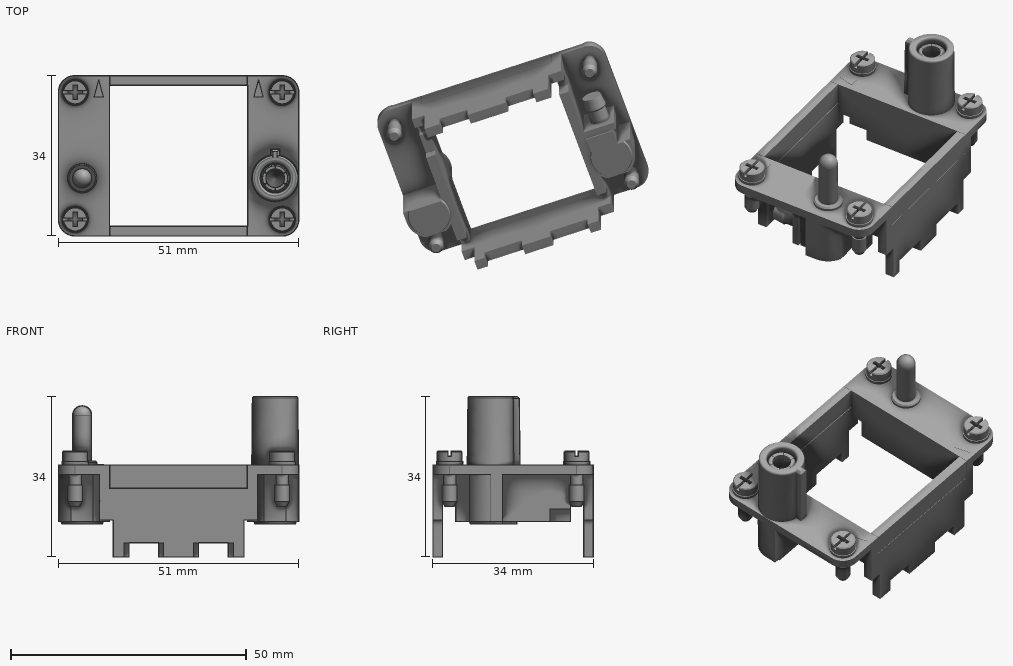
import cadquery as cq
import math

LENGTH = 51.0
WIDTH = 34.0
HEIGHT = 34.0
BUSHING_TOP = 14.5
PLATE_THICKNESS = 2.05
CORNER_RADIUS = 3.55
WINDOW_LENGTH = 29.25

WALL_THICKNESS = 2.1
STRIP_THICKNESS = 2.0
WALL_BOTTOM = BUSHING_TOP - HEIGHT
WALL_LENGTH = 33.45
SHOULDER_Z = -11.7
SKIRT_LENGTH = 27.75
TOOTH_TOP_Z = -16.5
FRONT_TEETH = [(-SKIRT_LENGTH / 2, -11.6), (-3.15, 3.15), (11.6, SKIRT_LENGTH / 2)]
BACK_TEETH = [(-SKIRT_LENGTH / 2, -10.5), (-4.25, 4.25), (10.5, SKIRT_LENGTH / 2)]
STRIP_HEIGHT = 5.0
STRIP_GROOVE_WIDTH = 0.1
STRIP_GROOVE_DEPTH = 0.1

END_WALL_WIDTH = 24.35
END_WALL_BOTTOM = -12.05
END_WALL_UPPER_BOTTOM = -7.65
STEP_BOTTOM = -9.4
STEP_START_Y = 7.85

GUIDE_X = 20.45
GUIDE_Y = -4.75
BOSS_RADIUS = LENGTH / 2 - GUIDE_X
BOSS_FLAT_Y = -9.25
BOSS_BACK_Y = -2.3
BOSS_FOOT_RADIUS = 4.3
BOSS_FOOT_BOTTOM = -12.55

PIN_RADIUS = 2.05
PIN_TOP = 12.55
PIN_COLLAR_RADIUS = 3.1
PIN_COLLAR_HEIGHT = 0.85
PIN_COLLAR_CHAMFER = 0.3

BUSHING_BASE_RADIUS = 5.0
BUSHING_TOP_RADIUS = 4.85
BUSHING_ROUND = 0.45
MOUTH_THROAT_RADIUS = 3.15
MOUTH_ROUND = 0.55
CONTACT_DEPTH = 1.2
CONTACT_GAP_DEPTH = 7.35
CONTACT_RADIUS = 2.95
CONTACT_CHAMFER = 0.3
SOCKET_RADIUS = 2.0
SOCKET_DEPTH = 12.25
SOCKET_TIP_DEPTH = 13.75
CONTACT_SLOT_WIDTH = 0.15
KEY_BASE_WIDTH = 2.0
KEY_TOP_WIDTH = 1.8
KEY_BASE_REACH = 6.2
KEY_TOP_REACH = 6.05
KEY_CHAMFER = 0.45

SCREW_X = 21.95
SCREW_Y = 13.45
SCREW_HEAD_TOP = 2.9
SCREW_WASHER_RADIUS = 2.8
SCREW_WASHER_HEIGHT = 0.7
SCREW_HEAD_RADIUS = 2.65
SCREW_HEAD_CHAMFER = 0.2
SCREW_SHANK_RADIUS = 1.35
SCREW_THREAD_RADIUS = 1.6
SCREW_TIP_RADIUS = 0.95
SCREW_THREAD_START = -4.3
SCREW_THREAD_END = -7.8
SCREW_TIP_END = -8.8
SLOT_WIDTH = 0.65
SLOT_DEPTH = 1.0
CROSS_LENGTH = 3.05
CROSS_WIDTH = 0.9
CROSS_DEPTH = 1.55

POST_FACE_X = -23.45
POST_START_Y = 0.8
POST_END_Y = 2.35
INSERT_TOP_FACE_X = -23.1
INSERT_FOOT_FACE_X = -22.65
INSERT_FOOT_TOP = -10.95
TERMINAL_X = -20.4
TERMINAL_Z = -7.55
TERMINAL_SHANK_RADIUS = 2.05
TERMINAL_COLLAR_RADIUS = 2.35
TERMINAL_HEAD_RADIUS = 2.05
TERMINAL_COLLAR_START_Y = 5.05
TERMINAL_COLLAR_END_Y = 5.45
TERMINAL_END_Y = 7.9

MARK_X = 16.95
MARK_BASE_Y = 12.45
MARK_TIP_Y = 16.1
MARK_WIDTH = 2.0
MARK_HEIGHT = 0.1


def block(x_range, y_range, z_range):
    """Axis-aligned box between two limits on each axis."""
    x0, x1 = x_range
    y0, y1 = y_range
    z0, z1 = z_range
    return cq.Workplane("XY").box(x1 - x0, y1 - y0, z1 - z0, centered=False).translate((x0, y0, z0))


def turned(profile):
    """Revolve (radius, height) points about the Z axis."""
    return cq.Workplane("XZ").polyline(profile).close().revolve(360, (0, 0), (0, 1))


def end_plates():
    plate = cq.Workplane("XY").rect(LENGTH, WIDTH).extrude(-PLATE_THICKNESS)
    plate = plate.edges("|Z").fillet(CORNER_RADIUS)
    return plate.cut(cq.Workplane("XY").rect(WINDOW_LENGTH, WIDTH).extrude(-PLATE_THICKNESS))


def side_wall(teeth, side):
    """Wall on the -Y side (side = -1) or the +Y side (side = 1)."""
    y_range = sorted((side * WIDTH / 2, side * (WIDTH / 2 - WALL_THICKNESS)))
    strip_y = sorted((side * WIDTH / 2, side * (WIDTH / 2 - STRIP_THICKNESS)))
    half_window = WINDOW_LENGTH / 2
    half_wall = WALL_LENGTH / 2
    half_skirt = SKIRT_LENGTH / 2
    wall = block((-half_window, half_window), y_range, (SHOULDER_Z, -STRIP_HEIGHT))
    wall = wall.union(block((-half_window, half_window), strip_y, (-STRIP_HEIGHT, 0)))
    for x_range in ((-half_wall, -half_window), (half_window, half_wall)):
        wall = wall.union(block(x_range, y_range, (SHOULDER_Z, -PLATE_THICKNESS)))
    wall = wall.union(block((-half_skirt, half_skirt), y_range, (TOOTH_TOP_Z, SHOULDER_Z)))
    for tooth in teeth:
        wall = wall.union(block(tooth, y_range, (WALL_BOTTOM, TOOTH_TOP_Z)))

    groove_y = sorted((side * WIDTH / 2, side * (WIDTH / 2 - STRIP_GROOVE_DEPTH)))
    inner = half_window - STRIP_GROOVE_WIDTH
    groove = block((-half_window, half_window), groove_y, (-STRIP_HEIGHT, 0))
    groove = groove.cut(block((-inner, inner), groove_y, (STRIP_GROOVE_WIDTH - STRIP_HEIGHT, 0)))
    wall = wall.cut(groove)

    for x0 in (-half_window, inner):
        x_range = (x0, x0 + STRIP_GROOVE_WIDTH)
        wall = wall.cut(block(x_range, strip_y, (-STRIP_GROOVE_DEPTH, 0)))
    return wall


def end_wall():
    """End wall on the +X side."""
    x_range = (WINDOW_LENGTH / 2, WALL_LENGTH / 2)
    half_width = END_WALL_WIDTH / 2
    half_inside = WIDTH / 2 - WALL_THICKNESS
    wall = block(x_range, (-half_inside, half_inside), (END_WALL_UPPER_BOTTOM, -PLATE_THICKNESS))
    return wall.union(block(x_range, (-half_width, half_width), (END_WALL_BOTTOM, -PLATE_THICKNESS)))


def guide_boss():
    """Boss on the +X side: a cylinder cut flat on -Y and squared up to the plate edge on +X."""
    depth = -PLATE_THICKNESS - END_WALL_BOTTOM
    boss = cq.Workplane("XY", origin=(GUIDE_X, GUIDE_Y, END_WALL_BOTTOM)).circle(BOSS_RADIUS).extrude(depth)
    boss = boss.union(block((WALL_LENGTH / 2, LENGTH / 2), (GUIDE_Y, BOSS_BACK_Y),
                            (END_WALL_BOTTOM, -PLATE_THICKNESS)))
    boss = boss.intersect(block((WALL_LENGTH / 2, LENGTH / 2), (BOSS_FLAT_Y, BOSS_BACK_Y),
                                (END_WALL_BOTTOM, -PLATE_THICKNESS)))
    foot = turned([(0, END_WALL_BOTTOM), (GUIDE_Y - BOSS_FLAT_Y, END_WALL_BOTTOM),
                   (BOSS_FOOT_RADIUS, BOSS_FOOT_BOTTOM), (0, BOSS_FOOT_BOTTOM)])
    foot = foot.translate((GUIDE_X, GUIDE_Y, 0))
    below_boss = block((WINDOW_LENGTH / 2, LENGTH / 2), (BOSS_FLAT_Y, BOSS_BACK_Y),
                       (BOSS_FOOT_BOTTOM, END_WALL_BOTTOM))
    return boss.union(foot.intersect(below_boss))


def guide_pin():
    collar_edge = PIN_COLLAR_RADIUS - PIN_COLLAR_CHAMFER
    dome_base = PIN_TOP - PIN_RADIUS
    dome_mid = PIN_RADIUS * math.sqrt(0.5)
    pin = (
        cq.Workplane("XZ")
        .polyline([(0, -PLATE_THICKNESS), (PIN_RADIUS, -PLATE_THICKNESS), (PIN_RADIUS, 0),
                   (PIN_COLLAR_RADIUS, 0), (PIN_COLLAR_RADIUS, PIN_COLLAR_HEIGHT - PIN_COLLAR_CHAMFER),
                   (collar_edge, PIN_COLLAR_HEIGHT), (PIN_RADIUS, PIN_COLLAR_HEIGHT),
                   (PIN_RADIUS, dome_base)])
        .threePointArc((dome_mid, dome_base + dome_mid), (0, PIN_TOP))
        .close()
        .revolve(360, (0, 0), (0, 1))
    )
    return pin.translate((-GUIDE_X, GUIDE_Y, 0))


def bushing_key():
    """Tapered key along the +Y side of the bushing, chamfered around its top."""
    base_y = KEY_BASE_REACH / 2
    top_y = KEY_TOP_REACH / 2
    key = (
        cq.Workplane("XY")
        .center(0, base_y).rect(KEY_BASE_WIDTH, KEY_BASE_REACH)
        .workplane(offset=BUSHING_TOP)
        .center(0, top_y - base_y).rect(KEY_TOP_WIDTH, KEY_TOP_REACH)
        .loft(ruled=True)
    )
    return key.faces(">Z").edges().chamfer(KEY_CHAMFER)


def guide_bushing():
    contact_top = BUSHING_TOP - CONTACT_DEPTH
    body = turned([(0, 0), (BUSHING_BASE_RADIUS, 0), (BUSHING_TOP_RADIUS, BUSHING_TOP), (0, BUSHING_TOP)])
    body = body.faces(">Z").edges().fillet(BUSHING_ROUND)
    body = body.union(bushing_key())
    mouth = cq.Workplane("XY", origin=(0, 0, BUSHING_TOP)).circle(MOUTH_THROAT_RADIUS)
    body = body.cut(mouth.extrude(-CONTACT_GAP_DEPTH))
    body = body.edges(cq.selectors.RadiusNthSelector(0)).edges(">Z").fillet(MOUTH_ROUND)

    body = body.union(turned([(0, BUSHING_TOP - CONTACT_GAP_DEPTH),
                              (CONTACT_RADIUS, BUSHING_TOP - CONTACT_GAP_DEPTH),
                              (CONTACT_RADIUS, contact_top - CONTACT_CHAMFER),
                              (CONTACT_RADIUS - CONTACT_CHAMFER, contact_top), (0, contact_top)]))
    body = body.cut(turned([(0, contact_top), (SOCKET_RADIUS, contact_top),
                            (SOCKET_RADIUS, BUSHING_TOP - SOCKET_DEPTH),
                            (0, BUSHING_TOP - SOCKET_TIP_DEPTH)]))

    slot_depth = CONTACT_GAP_DEPTH - CONTACT_DEPTH
    slot_centre_z = contact_top - slot_depth / 2
    slot = cq.Workplane("XY").box(CONTACT_SLOT_WIDTH, 2 * CONTACT_RADIUS, slot_depth)
    for angle in (0, 60, 120):
        body = body.cut(slot.rotate((0, 0, 0), (0, 0, 1), angle).translate((0, 0, slot_centre_z)))
    return body.translate((GUIDE_X, GUIDE_Y, 0))


def screw():
    head_edge = SCREW_HEAD_RADIUS - SCREW_HEAD_CHAMFER
    body = turned([(0, SCREW_HEAD_TOP), (head_edge, SCREW_HEAD_TOP),
                   (SCREW_HEAD_RADIUS, SCREW_HEAD_TOP - SCREW_HEAD_CHAMFER),
                   (SCREW_HEAD_RADIUS, SCREW_WASHER_HEIGHT), (SCREW_WASHER_RADIUS, SCREW_WASHER_HEIGHT),
                   (SCREW_WASHER_RADIUS, 0), (SCREW_SHANK_RADIUS, 0),
                   (SCREW_SHANK_RADIUS, SCREW_THREAD_START), (SCREW_THREAD_RADIUS, SCREW_THREAD_START),
                   (SCREW_THREAD_RADIUS, SCREW_THREAD_END), (SCREW_TIP_RADIUS, SCREW_TIP_END),
                   (0, SCREW_TIP_END)])
    top = cq.Workplane("XY", origin=(0, 0, SCREW_HEAD_TOP))
    body = body.cut(top.rect(2 * SCREW_WASHER_RADIUS, SLOT_WIDTH).extrude(-SLOT_DEPTH))
    body = body.cut(top.rect(CROSS_LENGTH, SLOT_WIDTH).extrude(-CROSS_DEPTH))
    return body.cut(top.rect(CROSS_WIDTH, CROSS_LENGTH).extrude(-CROSS_DEPTH))


def earth_terminal():
    """Post, sloped insert and horizontal screw beside the -X boss."""
    wall_x = -WALL_LENGTH / 2
    post = block((POST_FACE_X, wall_x), (POST_START_Y, POST_END_Y), (END_WALL_BOTTOM, -PLATE_THICKNESS))
    insert = (
        cq.Workplane("XZ", origin=(0, POST_START_Y, 0))
        .polyline([(wall_x, -PLATE_THICKNESS), (INSERT_TOP_FACE_X, -PLATE_THICKNESS),
                   (INSERT_FOOT_FACE_X, INSERT_FOOT_TOP), (INSERT_FOOT_FACE_X, BOSS_FOOT_BOTTOM),
                   (wall_x, BOSS_FOOT_BOTTOM)])
        .close()
        .extrude(POST_START_Y - BOSS_BACK_Y)
    )
    terminal = turned([(0, POST_END_Y), (TERMINAL_SHANK_RADIUS, POST_END_Y),
                       (TERMINAL_SHANK_RADIUS, TERMINAL_COLLAR_START_Y),
                       (TERMINAL_COLLAR_RADIUS, TERMINAL_COLLAR_END_Y),
                       (TERMINAL_HEAD_RADIUS, TERMINAL_END_Y), (0, TERMINAL_END_Y)])
    terminal = terminal.rotate((0, 0, 0), (1, 0, 0), -90).translate((TERMINAL_X, 0, TERMINAL_Z))
    return post.union(insert).union(terminal)


def triangle_mark():
    half = MARK_WIDTH / 2
    return (
        cq.Workplane("XY")
        .polyline([(-half, MARK_BASE_Y), (half, MARK_BASE_Y), (0, MARK_TIP_Y)])
        .close()
        .extrude(MARK_HEIGHT)
    )


result = end_plates()
result = result.union(side_wall(FRONT_TEETH, -1))
result = result.union(side_wall(BACK_TEETH, 1))

wall_and_boss = end_wall().union(guide_boss())
result = result.union(wall_and_boss.mirror("YZ"))
step = block((WINDOW_LENGTH / 2, WALL_LENGTH / 2), (STEP_START_Y, END_WALL_WIDTH / 2),
             (END_WALL_BOTTOM, STEP_BOTTOM))
result = result.union(wall_and_boss.cut(step))

result = result.union(earth_terminal())
result = result.union(guide_pin())
result = result.union(guide_bushing())
for x in (-SCREW_X, SCREW_X):
    for y in (-SCREW_Y, SCREW_Y):
        result = result.union(screw().translate((x, y, 0)))
for x in (-MARK_X, MARK_X):
    result = result.union(triangle_mark().translate((x, 0, 0)))